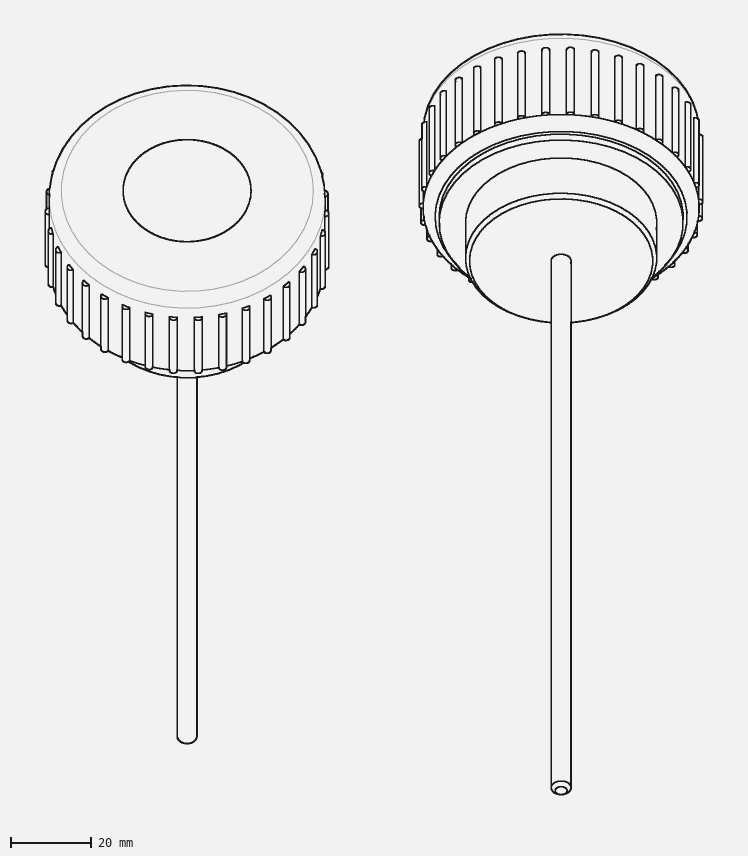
import cadquery as cq

cap_diameter = 69.0
cap_height = 32.0
cap_top_fillet = 3.0
cap_bottom_chamfer = 3.0

recess_diameter = 32.0
recess_depth = 0.1

rib_count = 35
rib_diameter = 2.0
rib_top_depth = 7.0
first_rib_angle = -90.0

flange_diameter = 61.0
flange_height = 2.0
plug_diameter = 47.8
plug_height = 13.0
plug_chamfer = 1.0

overall_height = 227.0
rod_diameter = 5.0
tip_chamfer = 1.0

cap_bottom = -cap_height
flange_bottom = cap_bottom - flange_height
plug_bottom = flange_bottom - plug_height
rod_length = overall_height + plug_bottom


def cylinder_down(diameter, top, height):
    """Cylinder on the Z axis, reaching down from the level 'top'."""
    return cq.Workplane("XY").workplane(offset=top).circle(diameter / 2).extrude(-height)


def make_cap():
    cap = cylinder_down(cap_diameter, 0, cap_height)
    cap = cap.faces(">Z").edges().fillet(cap_top_fillet)
    return cap.faces("<Z").edges().chamfer(cap_bottom_chamfer)


def make_ribs():
    rib_height = cap_height - cap_bottom_chamfer - rib_top_depth
    return (
        cq.Workplane("XY")
        .workplane(offset=-rib_top_depth)
        .polarArray(cap_diameter / 2, first_rib_angle, 360, rib_count)
        .circle(rib_diameter / 2)
        .extrude(-rib_height)
    )


def make_plug():
    flange = cylinder_down(flange_diameter, cap_bottom, flange_height)
    plug = cylinder_down(plug_diameter, flange_bottom, plug_height)
    plug = plug.faces("<Z").edges().chamfer(plug_chamfer)
    return flange.union(plug)


def make_rod():
    rod = cylinder_down(rod_diameter, plug_bottom, rod_length)
    return rod.faces("<Z").edges().chamfer(tip_chamfer)


def make_recess():
    return cylinder_down(recess_diameter, 0, recess_depth)


result = make_cap().union(make_ribs()).union(make_plug()).union(make_rod()).cut(make_recess())